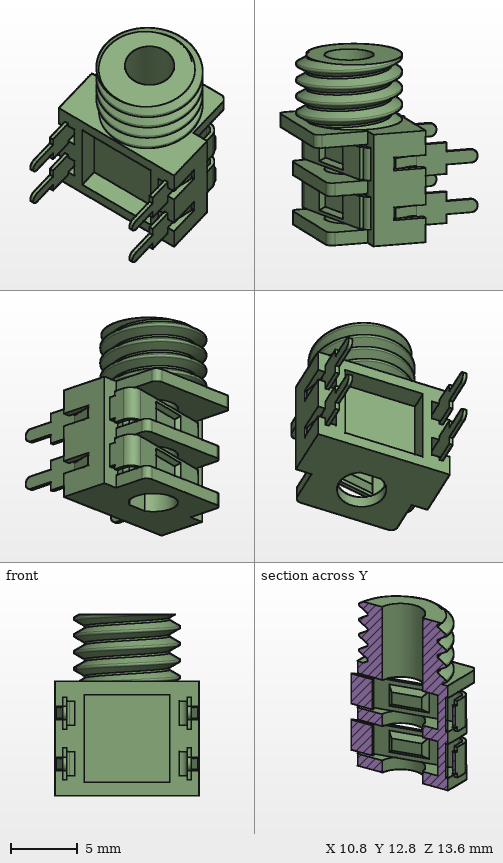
import cadquery as cq
import math


body_width = 10.8
body_front = -4.15
body_height = 8.6
total_height = 13.6
bore_diameter = 3.7
bore_flat_y = -1.65

plate_width = 8.21
plate_thickness = 1.02
top_plate_rear = 4.16
lower_plate_rear = 3.15
plate_corner_radius = 0.52
rib_width = 0.75
rib_rear = 0.5

recess_width = 6.39
recess_bottom = 1.0
recess_top = 7.58
recess_depth = 1.5

thread_pitch = 1.25
thread_diameter = 8.0
thread_root_diameter = 6.39
thread_flank_angle = 30.0
crest_flat = thread_pitch / 8
crest_height_at_x = 12.65
thread_embed = 0.07

sheet = 0.3
contact_outer_x = 4.81
contact_spacing = 3.78
spring_height = 2.5
slot_height = 1.8
slot_inner_x = 3.93
shoulder_height = 2.41
shoulder_end = -6.04
pin_width = 1.0
pin_spacing = 3.82
right_pin_end = -8.6
left_pin_end = -8.51
left_bend_radius = 0.5
left_spring_rear = 0.41
left_spring_end = -2.72
right_bend_radius = 0.83
right_bend_y = 1.4
spring_angle = 10.8
spring_tip_x = -4.22

dimple_length = 3.47
dimple_height = 1.99
boss_depth = 0.46
hollow_depth = 0.35
dimple_taper = 40.0
dimple_wall = 0.11
dimple_center_x = -0.08

notch_height = 1.0
notch_end = -1.63
tang_height = 0.82
tang_root_y = -3.63
tang_tip_y = -1.8
tang_spread = 0.48

mid_height = body_height / 2
contact_levels = [mid_height - contact_spacing / 2, mid_height + contact_spacing / 2]
pin_levels = [mid_height - pin_spacing / 2, mid_height + pin_spacing / 2]


def block(x_range, y_range, z_range):
    """Box between the given limits, in any order."""
    size = [abs(b - a) for a, b in (x_range, y_range, z_range)]
    low = [min(limits) for limits in (x_range, y_range, z_range)]
    return cq.Workplane("XY").box(*size, centered=False).translate(tuple(low))


def raised(profile, height, level):
    """Extrude an XY profile symmetrically about a level."""
    return profile.extrude(height).translate((0, 0, level - height / 2))


def plate(bottom, rear):
    """Plate reaching back from the body, with rounded rear corners."""
    half = plate_width / 2
    blank = block((-half, half), (0, rear), (bottom, bottom + plate_thickness))
    return blank.edges("|Z and >Y").fillet(plate_corner_radius)


def housing():
    half = body_width / 2
    body = block((-half, half), (body_front, 0), (0, body_height))
    body = body.union(plate(0, lower_plate_rear))
    body = body.union(plate(mid_height - plate_thickness / 2, lower_plate_rear))
    body = body.union(plate(body_height - plate_thickness, top_plate_rear))
    rib = block((slot_inner_x - rib_width, slot_inner_x), (0, rib_rear), (0, body_height))
    body = body.union(rib)
    half_recess = recess_width / 2
    recess = block(
        (-half_recess, half_recess), (body_front, body_front + recess_depth), (recess_bottom, recess_top)
    )
    return body.cut(recess)


def threaded_neck():
    root_radius = thread_root_diameter / 2
    crest_radius = thread_diameter / 2
    base_radius = root_radius - thread_embed
    flank = math.radians(thread_flank_angle)
    half_crest = crest_flat / 2
    half_base = half_crest + (crest_radius - base_radius) * math.tan(flank)
    apex_gap = half_crest / math.tan(flank)
    rounding = apex_gap / (1 / math.sin(flank) - 1)
    rounding_start = crest_radius - rounding * (1 - math.sin(flank))
    half_rounding = rounding * math.cos(flank)
    turns = math.ceil((total_height - body_height) / thread_pitch) + 3
    start = crest_height_at_x - (turns - 2) * thread_pitch
    helix = cq.Wire.makeHelix(thread_pitch, turns * thread_pitch, base_radius)
    ridge = (
        cq.Workplane("XZ")
        .moveTo(base_radius, -half_base)
        .lineTo(rounding_start, -half_rounding)
        .threePointArc((crest_radius, 0), (rounding_start, half_rounding))
        .lineTo(base_radius, half_base)
        .close()
        .sweep(cq.Workplane(obj=helix), isFrenet=True)
        .translate((0, 0, start))
    )
    core = (
        cq.Workplane("XY", origin=(0, 0, start - thread_pitch))
        .circle(root_radius)
        .extrude((turns + 2) * thread_pitch)
    )
    neck_band = (
        cq.Workplane("XY", origin=(0, 0, body_height))
        .circle(thread_diameter)
        .extrude(total_height - body_height)
    )
    return core.union(ridge).intersect(neck_band)


def bore():
    """Round bore, with a flat on the front side below the top plate."""
    radius = bore_diameter / 2
    hole = cq.Workplane("XY").circle(radius).extrude(total_height)
    flat = block((-radius, radius), (-radius, bore_flat_y), (0, body_height - plate_thickness))
    return hole.cut(flat)


def contact_slot(side, level):
    """Slot through the body for one contact."""
    return block(
        (side * slot_inner_x, side * contact_outer_x),
        (body_front, 0),
        (level - slot_height / 2, level + slot_height / 2),
    )


def side_notch(side, level):
    """Opening from the contact slot out to the side face."""
    return block(
        (side * contact_outer_x, side * body_width / 2),
        (body_front, notch_end),
        (level - notch_height / 2, level + notch_height / 2),
    )


def solder_pin(side, contact_level, pin_level, pin_end):
    """Flat blade in the slot, then the wide shoulder and the round-ended pin."""
    inner_x = contact_outer_x - sheet
    x_range = (side * inner_x, side * contact_outer_x)
    radius = pin_width / 2

    def segment(y_range, height, level):
        return block(x_range, y_range, (level - height / 2, level + height / 2))

    blade = segment((body_front, 0), slot_height, contact_level)
    shoulder = segment((shoulder_end, body_front), shoulder_height, contact_level)
    pin = segment((pin_end + radius, shoulder_end), pin_width, pin_level)
    tip = (
        cq.Workplane("YZ", origin=(min(x_range), pin_end + radius, pin_level))
        .circle(radius)
        .extrude(sheet)
    )
    return blade.union(shoulder).union(pin).union(tip)


def tang(side, level):
    """Springy tab leaning outwards from the blade into the side notch."""
    lean = math.atan2(tang_spread, tang_tip_y - tang_root_y)
    step_x = sheet * math.cos(lean)
    step_y = sheet * math.sin(lean)
    tip_x = contact_outer_x + tang_spread
    profile = (
        cq.Workplane("XY")
        .moveTo(side * contact_outer_x, tang_root_y)
        .lineTo(side * tip_x, tang_tip_y)
        .lineTo(side * (tip_x - step_x), tang_tip_y + step_y)
        .lineTo(side * (contact_outer_x - step_x), tang_root_y + step_y)
        .close()
    )
    return raised(profile, tang_height, level)


def left_spring(level):
    """Short spring bent over the rear of the body."""
    outer = -contact_outer_x
    inner_radius = left_bend_radius - sheet
    bend_x = outer + left_bend_radius
    bend_y = left_spring_rear - left_bend_radius
    diagonal = math.sqrt(0.5)
    profile = (
        cq.Workplane("XY")
        .moveTo(outer, bend_y)
        .threePointArc(
            (bend_x - left_bend_radius * diagonal, bend_y + left_bend_radius * diagonal),
            (bend_x, left_spring_rear),
        )
        .lineTo(left_spring_end, left_spring_rear)
        .lineTo(left_spring_end, left_spring_rear - sheet)
        .lineTo(bend_x, left_spring_rear - sheet)
        .threePointArc(
            (bend_x - inner_radius * diagonal, bend_y + inner_radius * diagonal),
            (bend_x - inner_radius, bend_y),
        )
        .close()
    )
    return raised(profile, spring_height, level)


def right_spring(level):
    """Long spring crossing behind the bore, with its tip on the short spring."""
    outer_radius = right_bend_radius
    inner_radius = right_bend_radius - sheet
    bend_x = contact_outer_x - right_bend_radius
    lean = math.radians(spring_angle)
    end_turn = math.pi / 2 + lean

    def on_bend(radius, turn):
        return (bend_x + radius * math.cos(turn), right_bend_y + radius * math.sin(turn))

    def at_tip(radius):
        x, y = on_bend(radius, end_turn)
        return (spring_tip_x, y - (x - spring_tip_x) * math.tan(lean))

    profile = (
        cq.Workplane("XY")
        .moveTo(*on_bend(outer_radius, 0))
        .threePointArc(on_bend(outer_radius, end_turn / 2), on_bend(outer_radius, end_turn))
        .lineTo(*at_tip(outer_radius))
        .lineTo(*at_tip(inner_radius))
        .lineTo(*on_bend(inner_radius, end_turn))
        .threePointArc(on_bend(inner_radius, end_turn / 2), on_bend(inner_radius, 0))
        .close()
    )
    strip = raised(profile, spring_height, level)
    x_range = (contact_outer_x - sheet, contact_outer_x)
    half_slot = slot_height / 2
    half_spring = spring_height / 2
    neck = block(x_range, (0, rib_rear), (level - half_slot, level + half_slot))
    upright = block(x_range, (rib_rear, right_bend_y), (level - half_spring, level + half_spring))

    tip_x, tip_y = at_tip(outer_radius)
    surface_y = tip_y + (dimple_center_x - tip_x) * math.tan(lean)
    surface = cq.Plane(
        origin=(dimple_center_x, surface_y, level),
        xDir=(math.cos(lean), math.sin(lean), 0),
        normal=(math.sin(lean), -math.cos(lean), 0),
    )
    boss_shrink = 2 * dimple_wall
    boss = (
        cq.Workplane(surface)
        .workplane(offset=sheet)
        .rect(dimple_length - boss_shrink, dimple_height - boss_shrink)
        .extrude(boss_depth, taper=dimple_taper)
    )
    hollow = (
        cq.Workplane(surface)
        .rect(dimple_length, dimple_height)
        .extrude(hollow_depth, taper=dimple_taper)
    )
    return strip.union(neck).union(upright).union(boss).cut(hollow)


result = housing().union(threaded_neck()).cut(bore())
for contact_level, pin_level in zip(contact_levels, pin_levels):
    for side, pin_end in ((-1, left_pin_end), (1, right_pin_end)):
        result = result.cut(contact_slot(side, contact_level))
        result = result.cut(side_notch(side, pin_level))
        result = result.union(solder_pin(side, contact_level, pin_level, pin_end))
        result = result.union(tang(side, pin_level))
    result = result.union(left_spring(contact_level))
    result = result.union(right_spring(contact_level))